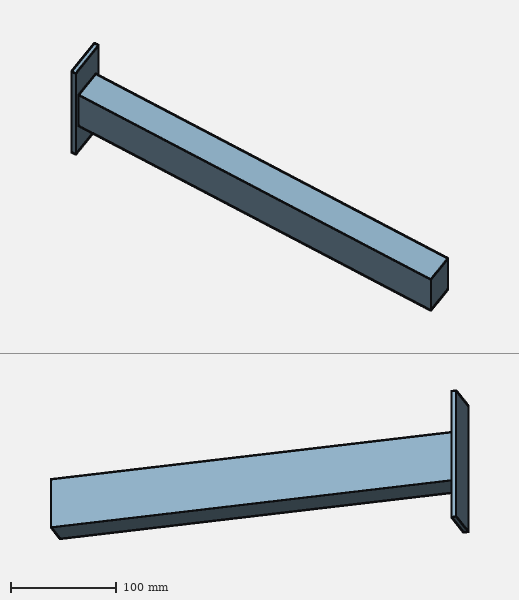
import cadquery as cq

total_length = 405.0

plate_thickness = 5.0
plate_width = 40.0
plate_height = 130.0

bar_length = total_length - plate_thickness
bar_width = 30.0
bar_height = 50.0


def make_end_plate():
    """Flat plate standing across the end of the bar, outer face at X = 0."""
    return cq.Workplane("XY").box(
        plate_thickness, plate_width, plate_height, centered=(False, True, True)
    )


def make_bar():
    """Rectangular bar that butts against the inner face of the plate."""
    return (
        cq.Workplane("XY")
        .box(bar_length, bar_width, bar_height, centered=(False, True, True))
        .translate((plate_thickness, 0, 0))
    )


end_plate = make_end_plate()
bar = make_bar()

result = cq.Compound.makeCompound([end_plate.val(), bar.val()])